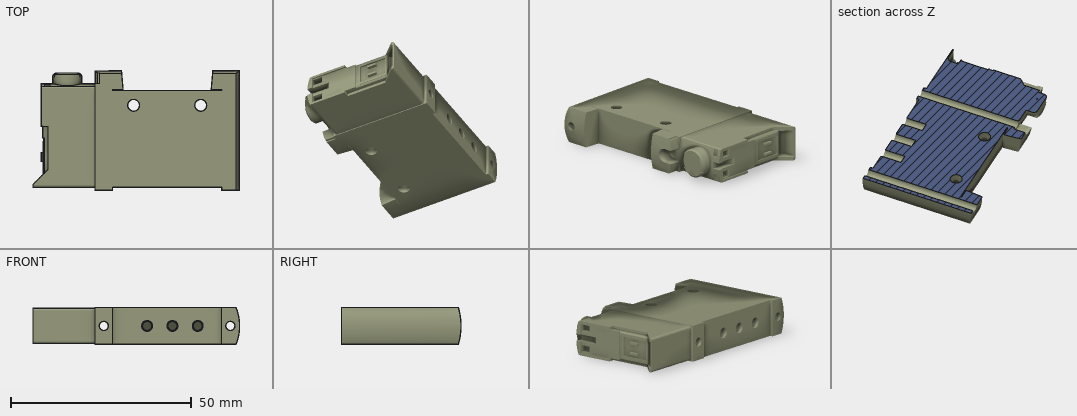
import cadquery as cq


total_length = 57.21
total_width = 33.1
thickness = 10.25
half_thickness = thickness / 2

housing_front_x = 2.33
solenoid_plate_x = 17.2
body_start_x = 22.1
body_end_x = 52.2
end_plate_shoulder_x = 56.2

body_bottom_y = 0.8
body_top_y = 27.65
mount_hole_diameter = 3.2
mount_hole_xs = (27.87, 46.43)
mount_hole_y = 23.5
port_xs = (31.6, 38.6, 45.6)
port_diameter = 2.5
port_mouth_diameter = 3.0
port_mouth_depth = (port_mouth_diameter - port_diameter) / 2
port_depth = 6.0

plate_shoulder_y = 32.35
plate_hole_diameter = 2.46
plate_hole_xs = (19.64, 54.62)
tab_root_y = 27.85
tab_root_width = 2.9
tab_tip_width = 2.45
screw_slot_width = 3.9
tab_face_half_height = 4.77
tab_face_crest_x = 17.1
tab_face_edge_x = 17.85
tab_face_step_x = 18.5

housing_bottom_y = 0.76
housing_crown_y = 29.5
housing_half_height = 4.92
housing_bottom_fillet = 0.7
crown_edge_half_height = 4.77
crown_edge_y = 28.68
crown_chamfer_y = 28.16

button_diameter = 8.1
button_x = 9.53
button_top_y = 32.45
button_root_y = 28.0
button_edge_chamfer = 0.4
grip_half_height = 1.95
grip_round = 1.15

flange_tip_y = 1.55
side_notch_x = 4.17
side_notch_low_y = flange_tip_y + side_notch_x
side_notch_top_y = 17.65
panel_x = 2.7
panel_top_y = 27.9
panel_half_height = 4.23
insert_half_height = 4.05
window_y_range = (25.0, panel_top_y)
window_z_range = (2.02, 3.9)
window_depth = 2.0
slot_half_height = 1.0
slot_end_y = 22.8
slot_depth = 1.9
crown_pocket_x_range = (3.2, 4.75)
crown_pocket_y = 28.75
crown_pocket_z = 2.6

connector_y_range = (4.6, 14.5)
connector_bevel_x = 3.2
connector_face_x = 2.95
connector_face_half_height = 3.65
frame_x = 2.83
frame_y_range = (connector_y_range[0], 13.55)
frame_half_height = 3.5
frame_corner = 0.5
cavity_y_range = (5.1, 13.0)
cavity_half_height = 2.75
cavity_corner = 0.25
cavity_floor_x = 3.2
pin_tip_x = 2.33
pin_y_range = (7.9, 10.5)
pin_z_range = (1.15, 1.78)
gap_half_height = 3.85
gap_floor_x = 4.6
gap_top_y = 4.22
gap_step_x = 4.2
gap_ramp_y = 2.0
gap_low_y = 1.15

overrun = 1.0


def box(x_range, y_range, z_range):
    """Axis-aligned block spanning the three given ranges."""
    sizes = [high - low for low, high in (x_range, y_range, z_range)]
    corner = (x_range[0], y_range[0], z_range[0])
    return cq.Workplane("XY").box(*sizes, centered=False).translate(corner)


def prism_z(points, half_height):
    """XY polygon extruded symmetrically about mid-thickness."""
    return cq.Workplane("XY").polyline(points).close().extrude(half_height, both=True)


def cylinder_y(x, diameter, y_low, y_high):
    """Round bar along Y on the mid-thickness plane."""
    plane = cq.Plane(origin=(x, y_low, 0), xDir=(1, 0, 0), normal=(0, 1, 0))
    return cq.Workplane(plane).circle(diameter / 2).extrude(y_high - y_low)


def on_both_sides(solid):
    """The solid together with its mirror image across Z = 0."""
    return solid.union(solid.mirror("XY"))


def profile_along_x(x_start, x_end):
    """Empty workplane with local axes (Y, Z), plus the extrusion length."""
    return cq.Workplane("YZ", origin=(x_start, 0, 0)), x_end - x_start


def crowned_bar(x_start, x_end):
    """Full-width bar whose +Y end is a shallow arc."""
    plane, length = profile_along_x(x_start, x_end)
    return (
        plane.moveTo(0, -half_thickness)
        .lineTo(plate_shoulder_y, -half_thickness)
        .threePointArc((total_width, 0), (plate_shoulder_y, half_thickness))
        .lineTo(0, half_thickness)
        .close()
        .extrude(length)
    )


def make_body():
    """Central block with two through mounting holes and three countersunk ports."""
    body = box((body_start_x, body_end_x), (body_bottom_y, body_top_y), (-half_thickness, half_thickness))
    for x in mount_hole_xs:
        hole = cq.Workplane("XY").center(x, mount_hole_y).circle(mount_hole_diameter / 2)
        body = body.cut(hole.extrude(thickness, both=True))
    for x in port_xs:
        body = body.cut(cylinder_y(x, port_diameter, body_bottom_y, body_bottom_y + port_depth))
        mouth = cq.Solid.makeCone(
            port_mouth_diameter / 2,
            port_diameter / 2,
            port_mouth_depth,
            pnt=cq.Vector(x, body_bottom_y, 0),
            dir=cq.Vector(0, 1, 0),
        )
        body = body.cut(cq.Workplane(mouth))
    return body


def tab(plate_edge_x, direction):
    """Tapered latch tab beside a plate, just clear of the body's top edge."""
    root_x = plate_edge_x + direction * tab_root_width
    tip_x = plate_edge_x + direction * tab_tip_width
    outline = [
        (plate_edge_x, tab_root_y),
        (root_x, tab_root_y),
        (tip_x, total_width),
        (plate_edge_x, total_width),
    ]
    bar = crowned_bar(min(plate_edge_x, root_x), max(plate_edge_x, root_x))
    return prism_z(outline, half_thickness).intersect(bar)


def make_solenoid_plate():
    """Plate between housing and body, with a latch tab and a screw-head recess."""
    plate = crowned_bar(solenoid_plate_x, body_start_x).union(tab(body_start_x, 1))
    keep = (
        cq.Workplane("XZ", origin=(0, housing_crown_y, 0))
        .moveTo(body_start_x, -half_thickness)
        .lineTo(tab_face_step_x, -half_thickness)
        .lineTo(tab_face_step_x, -tab_face_half_height)
        .lineTo(tab_face_edge_x, -tab_face_half_height)
        .threePointArc((tab_face_crest_x, 0), (tab_face_edge_x, tab_face_half_height))
        .lineTo(tab_face_step_x, tab_face_half_height)
        .lineTo(tab_face_step_x, half_thickness)
        .lineTo(body_start_x, half_thickness)
        .close()
        .extrude(-(total_width - housing_crown_y))
    )
    upper_front = box(
        (solenoid_plate_x, body_start_x),
        (housing_crown_y, total_width),
        (-half_thickness, half_thickness),
    )
    plate = plate.cut(upper_front.cut(keep))
    screw_x = plate_hole_xs[0]
    slot_half = screw_slot_width / 2
    recess = cylinder_y(screw_x, screw_slot_width, housing_crown_y, total_width).union(
        box((solenoid_plate_x, screw_x), (housing_crown_y, total_width), (-slot_half, slot_half))
    )
    return plate.cut(recess)


def make_end_plate():
    """Plate closing the far end, bowed outward in X and crowned in Y."""
    bow = (
        cq.Workplane("XZ")
        .moveTo(body_end_x, -half_thickness)
        .lineTo(end_plate_shoulder_x, -half_thickness)
        .threePointArc((total_length, 0), (end_plate_shoulder_x, half_thickness))
        .lineTo(body_end_x, half_thickness)
        .close()
        .extrude(-total_width)
    )
    return crowned_bar(body_end_x, total_length).intersect(bow).union(tab(body_end_x, -1))


def make_housing_shell():
    """Crowned housing block with side notches and a sloping flange at its -X end."""
    plane, length = profile_along_x(0, solenoid_plate_x)
    shell = (
        plane.moveTo(housing_bottom_y, -housing_half_height)
        .lineTo(crown_chamfer_y, -housing_half_height)
        .lineTo(crown_edge_y, -crown_edge_half_height)
        .threePointArc((housing_crown_y, 0), (crown_edge_y, crown_edge_half_height))
        .lineTo(crown_chamfer_y, housing_half_height)
        .lineTo(housing_bottom_y, housing_half_height)
        .close()
        .extrude(length)
    )
    shell = shell.faces("<Y").edges("|X").fillet(housing_bottom_fillet)
    outline = [
        (0, housing_bottom_y),
        (0, flange_tip_y),
        (side_notch_x, side_notch_low_y),
        (side_notch_x, side_notch_top_y),
        (housing_front_x, side_notch_top_y),
        (housing_front_x, housing_crown_y),
        (solenoid_plate_x, housing_crown_y),
        (solenoid_plate_x, housing_bottom_y),
    ]
    return shell.intersect(prism_z(outline, half_thickness))


def cut_flange_gap(housing):
    """Stepped and ramped gap between the connector and the flange lip."""
    ramp_end_x = gap_floor_x - (gap_ramp_y - gap_low_y)
    outline = [
        (-overrun, gap_low_y),
        (ramp_end_x, gap_low_y),
        (gap_floor_x, gap_ramp_y),
        (gap_floor_x, gap_top_y),
        (gap_step_x, gap_top_y),
        (gap_step_x, connector_y_range[0]),
        (-overrun, connector_y_range[0]),
    ]
    return housing.cut(prism_z(outline, gap_half_height))


def cut_front_details(housing):
    """Recessed cover panel with two windows, the open-topped slot and two crown pockets."""
    housing = housing.cut(
        box(
            (0, panel_x),
            (side_notch_top_y, panel_top_y),
            (-panel_half_height, panel_half_height),
        )
    )
    window = box((0, panel_x + window_depth), window_y_range, window_z_range)
    housing = housing.cut(on_both_sides(window))
    slot_floor_x = panel_x + slot_depth
    slot_outline = [
        (panel_x, slot_end_y),
        (slot_floor_x, slot_end_y + slot_depth),
        (slot_floor_x, housing_crown_y),
        (0, housing_crown_y),
        (0, slot_end_y),
    ]
    housing = housing.cut(prism_z(slot_outline, slot_half_height))
    crown_pocket = box(
        crown_pocket_x_range,
        (crown_pocket_y, housing_crown_y),
        (crown_pocket_z, half_thickness),
    )
    return housing.cut(on_both_sides(crown_pocket))


def make_connector():
    """Bevelled connector block with a raised frame, cavity and two pins."""
    low_y, high_y = connector_y_range
    bevel_profile = [
        (gap_floor_x, -insert_half_height),
        (connector_bevel_x, -insert_half_height),
        (connector_face_x, -connector_face_half_height),
        (connector_face_x, connector_face_half_height),
        (connector_bevel_x, insert_half_height),
        (gap_floor_x, insert_half_height),
    ]
    block = (
        cq.Workplane("XZ", origin=(0, low_y, 0)).polyline(bevel_profile).close().extrude(low_y - high_y)
    )
    frame = box((frame_x, gap_floor_x), frame_y_range, (-frame_half_height, frame_half_height))
    frame = frame.faces(">Y").edges("|X").chamfer(frame_corner)
    cavity = box((0, cavity_floor_x), cavity_y_range, (-cavity_half_height, cavity_half_height))
    cavity = cavity.edges("|X").fillet(cavity_corner)
    upper_panel = box(
        (panel_x, gap_floor_x),
        (high_y, side_notch_top_y),
        (-insert_half_height, insert_half_height),
    )
    pins = on_both_sides(box((pin_tip_x, gap_floor_x), pin_y_range, pin_z_range))
    return block.union(frame).cut(cavity).union(upper_panel).union(pins)


def make_button():
    """Round button with a small chamfer, rounded more fully across a central grip strip."""
    radius = button_diameter / 2
    blank = cylinder_y(button_x, button_diameter, button_root_y, button_top_y)
    chamfered = blank.faces(">Y").chamfer(button_edge_chamfer)
    rounded = blank.faces(">Y").edges().fillet(grip_round)
    strip = box(
        (button_x - radius, button_x + radius),
        (button_root_y, button_top_y),
        (-grip_half_height, grip_half_height),
    )
    return chamfered.cut(strip).union(rounded.intersect(strip))


def make_housing():
    housing = cut_front_details(make_housing_shell())
    housing = cut_flange_gap(housing)
    return housing.union(make_connector()).union(make_button())


def drill_plate_screws(part):
    for x in plate_hole_xs:
        part = part.cut(cylinder_y(x, plate_hole_diameter, 0, total_width))
    return part


assembly = make_body().union(make_solenoid_plate()).union(make_end_plate()).union(make_housing())
result = drill_plate_screws(assembly)